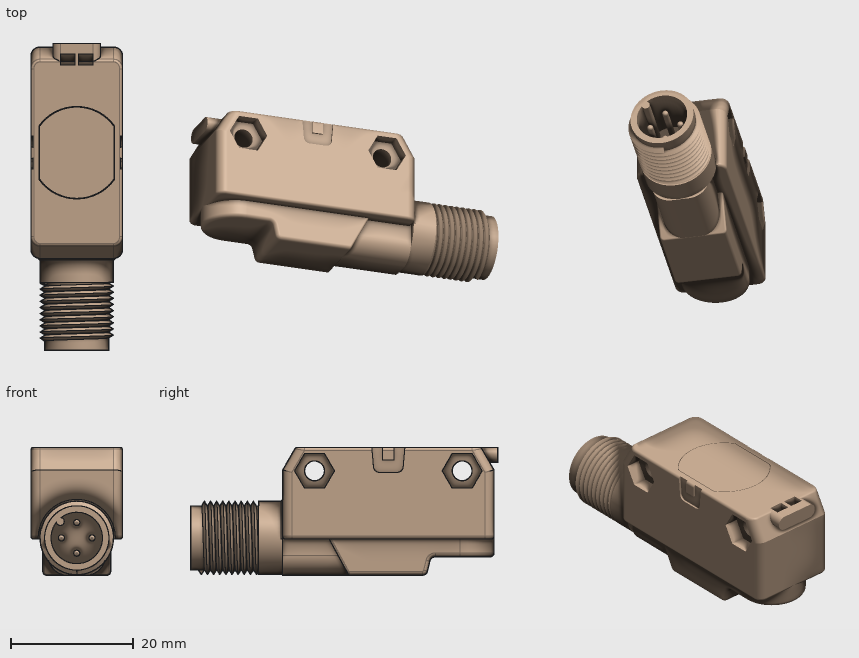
import cadquery as cq
import math


BODY_WIDTH = 15.0
BODY_LENGTH = 34.5
BODY_HEIGHT = 15.0
BODY_TOP = 14.8
BODY_BOTTOM = BODY_TOP - BODY_HEIGHT
BODY_MIDDLE = BODY_LENGTH / 2
CORNER_RADIUS = 1.5
RIM_RADIUS = 0.5
END_SLOPE = math.radians(60)
END_SLOPE_DROP = 3.7
END_SLOPE_RUN = END_SLOPE_DROP / math.tan(END_SLOPE)

BELLY_HALF_WIDTH = 5.55
BELLY_BOTTOM = -6.1
BELLY_SHALLOW_BOTTOM = -3.1
BELLY_STEP_TOP_Y = 24.2
BELLY_STEP_BOTTOM_Y = 23.5
BELLY_STEP_RADIUS = 0.9
BELLY_EDGE_RADIUS = 0.65
BELLY_FRONT_EDGE_RADIUS = 0.3
BELLY_FRONT_TOP_Y = 7.6
BELLY_FRONT_BOTTOM_Y = 10.8
BELLY_OVERLAP = 1.0
ROOT_HALF_WIDTH = 4.7
ROOT_CORNER_RADIUS = 3.25

HOLE_DIAMETER = 3.2
HOLE_SPACING = 24.1
HOLE_DROP = 3.85
NUT_ACROSS_FLATS = 5.65
NUT_DEPTH = 2.4

LATCH_TOP_WIDTH = 5.4
LATCH_BOTTOM_WIDTH = 4.7
LATCH_HEIGHT = 4.1
LATCH_DEPTH = 0.35
LATCH_CORNER_RADIUS = 1.0
CATCH_WIDTH = 1.85
CATCH_HEIGHT = 2.1

WINDOW_DIAMETER = 15.1
WINDOW_WIDTH = 12.4
GROOVE_WIDTH = 0.1
GROOVE_DEPTH = 0.2

TAB_OVERHANG = 0.61
TAB_END = BODY_LENGTH + TAB_OVERHANG
TAB_WIDTH = 7.8
TAB_THICKNESS = 2.45
TAB_LENGTH = 3.1
POCKET_WIDTH = 2.35
POCKET_GAP = 0.65
POCKET_SETBACK = 1.75
POCKET_LENGTH = 1.8
POCKET_DEPTH = 2.1

CONNECTOR_LENGTH = 15.0
COLLAR_RADIUS = 6.0
COLLAR_LENGTH = 3.9
FLARE_SIZE = 0.3
CORE_RADIUS = 5.25
THREAD_PITCH = 1.0
THREAD_END = 13.75
THREAD_ROOT_WIDTH = 0.97
THREAD_RUNOUT = 0.05
THREAD_SINK = 0.03
BORE_RADIUS = 4.2
BORE_DEPTH = 9.0
PIN_DIAMETER = 1.0
PIN_TIP_RADIUS = 0.4
PIN_CIRCLE_RADIUS = 2.5
PIN_COUNT = 4
PIN_SETBACK = 2.3
KEY_RADIUS = 0.65
KEY_CENTER_RADIUS = 3.8
KEY_ANGLE = math.radians(135)


def cylinder_along_y(radius, y_front, y_back, x=0.0, z=0.0):
    """Cylinder parallel to Y between two Y positions."""
    plane = cq.Plane(origin=(x, y_front, z), xDir=(-1, 0, 0), normal=(0, 1, 0))
    return cq.Workplane(plane).circle(radius).extrude(y_back - y_front)


def side_profile(points, half_width):
    """Closed outline of (y, z) points extruded evenly to both sides in X."""
    return cq.Workplane("YZ").polyline(points).close().extrude(half_width, both=True)


def make_housing():
    slope_bottom = BODY_TOP - END_SLOPE_DROP
    outline = [
        (0, BODY_BOTTOM),
        (0, slope_bottom),
        (END_SLOPE_RUN, BODY_TOP),
        (BODY_LENGTH - END_SLOPE_RUN, BODY_TOP),
        (BODY_LENGTH, slope_bottom),
        (BODY_LENGTH, BODY_BOTTOM),
    ]
    housing = side_profile(outline, BODY_WIDTH / 2)
    end_faces = housing.faces("<Y or >Y").edges("|Z")
    sloped_edges = housing.faces("<X or >X").edges("not(|Y or |Z)")
    housing = housing.newObject(end_faces.vals() + sloped_edges.vals()).fillet(CORNER_RADIUS)
    return housing.faces("<Z or >Z").edges().fillet(RIM_RADIUS)


def make_belly():
    belly_top = BODY_BOTTOM + BELLY_OVERLAP
    front_slope = (BELLY_FRONT_BOTTOM_Y - BELLY_FRONT_TOP_Y) / (BODY_BOTTOM - BELLY_BOTTOM)
    outline = [
        (BELLY_FRONT_TOP_Y - front_slope * BELLY_OVERLAP, belly_top),
        (BELLY_FRONT_BOTTOM_Y, BELLY_BOTTOM),
        (BELLY_STEP_BOTTOM_Y, BELLY_BOTTOM),
        (BELLY_STEP_TOP_Y, BELLY_SHALLOW_BOTTOM),
        (BODY_LENGTH, BELLY_SHALLOW_BOTTOM),
        (BODY_LENGTH, belly_top),
    ]
    belly = side_profile(outline, BELLY_HALF_WIDTH)
    step_y = (BELLY_STEP_TOP_Y + BELLY_STEP_BOTTOM_Y) / 2
    step_z = (BELLY_BOTTOM + BELLY_SHALLOW_BOTTOM) / 2
    step_face = belly.faces(cq.NearestToPointSelector((0, step_y, step_z)))
    belly = step_face.edges("|X").fillet(BELLY_STEP_RADIUS)

    round_center = BODY_LENGTH - BELLY_HALF_WIDTH
    plan = (
        cq.Workplane("XY", origin=(0, 0, BELLY_BOTTOM))
        .moveTo(-BELLY_HALF_WIDTH, 0)
        .lineTo(BELLY_HALF_WIDTH, 0)
        .lineTo(BELLY_HALF_WIDTH, round_center)
        .threePointArc((0, BODY_LENGTH), (-BELLY_HALF_WIDTH, round_center))
        .close()
        .extrude(belly_top - BELLY_BOTTOM)
    )
    belly = belly.intersect(plan)
    belly = belly.faces("<Z").edges("|Y").fillet(BELLY_EDGE_RADIUS)
    front_face = belly.faces(cq.NearestToPointSelector((0, BELLY_FRONT_TOP_Y, BODY_BOTTOM)))
    return front_face.edges("not |X").fillet(BELLY_FRONT_EDGE_RADIUS)


def make_connector_root():
    """Round-cornered neck leading from the belly to the connector."""
    height = BODY_BOTTOM + BELLY_OVERLAP - BELLY_BOTTOM
    plan = cq.Workplane("XY", origin=(0, BELLY_FRONT_BOTTOM_Y / 2, BELLY_BOTTOM))
    root = plan.rect(2 * ROOT_HALF_WIDTH, BELLY_FRONT_BOTTOM_Y).extrude(height)
    return root.faces("<Z").edges("|Y").fillet(ROOT_CORNER_RADIUS)


def make_tab():
    tab_center_z = BODY_TOP - TAB_THICKNESS / 2
    plane = cq.Plane(origin=(0, TAB_END, tab_center_z), xDir=(1, 0, 0), normal=(0, -1, 0))
    return cq.Workplane(plane).slot2D(TAB_WIDTH, TAB_THICKNESS).extrude(TAB_LENGTH)


def make_tab_pockets():
    pocket_back = TAB_END - POCKET_SETBACK
    pocket_front = pocket_back - POCKET_LENGTH
    slope_foot = pocket_back - POCKET_DEPTH / math.tan(END_SLOPE)
    outline = [
        (pocket_back, BODY_TOP),
        (slope_foot, BODY_TOP - POCKET_DEPTH),
        (pocket_front, BODY_TOP - POCKET_DEPTH),
        (pocket_front, BODY_TOP),
    ]
    offset = (POCKET_WIDTH + POCKET_GAP) / 2
    pocket = side_profile(outline, POCKET_WIDTH / 2)
    return pocket.translate((offset, 0, 0)).union(pocket.translate((-offset, 0, 0)))


def make_mounting_cut(y):
    """Through hole with a nut pocket on each side."""
    hole_z = BODY_TOP - HOLE_DROP
    corner_diameter = NUT_ACROSS_FLATS / math.cos(math.pi / 6)
    start = cq.Workplane("YZ", origin=(-BODY_WIDTH / 2, y, hole_z))
    hole = start.circle(HOLE_DIAMETER / 2).extrude(BODY_WIDTH)
    pocket = start.polygon(6, corner_diameter).extrude(NUT_DEPTH)
    return hole.union(pocket).union(pocket.mirror("YZ"))


def make_latch_cut():
    """Tapered recess around a small catch, on the -X side."""
    latch_bottom = BODY_TOP - LATCH_HEIGHT
    outline = [
        (BODY_MIDDLE - LATCH_TOP_WIDTH / 2, BODY_TOP),
        (BODY_MIDDLE - LATCH_BOTTOM_WIDTH / 2, latch_bottom),
        (BODY_MIDDLE + LATCH_BOTTOM_WIDTH / 2, latch_bottom),
        (BODY_MIDDLE + LATCH_TOP_WIDTH / 2, BODY_TOP),
    ]
    side = cq.Workplane("YZ", origin=(-BODY_WIDTH / 2, 0, 0))
    recess = side.polyline(outline).close().extrude(LATCH_DEPTH)
    recess = recess.faces("<Z").edges("|X").fillet(LATCH_CORNER_RADIUS)
    catch_z = BODY_TOP - CATCH_HEIGHT / 2
    catch = side.center(BODY_MIDDLE, catch_z).rect(CATCH_WIDTH, CATCH_HEIGHT).extrude(LATCH_DEPTH)
    return recess.cut(catch)


def make_window(inset):
    """Disc with two flats, just below the top face."""
    plane = cq.Workplane("XY", origin=(0, BODY_MIDDLE, BODY_TOP - GROOVE_DEPTH))
    disc = plane.circle(WINDOW_DIAMETER / 2 - inset).extrude(GROOVE_DEPTH)
    flats = plane.rect(WINDOW_WIDTH - 2 * inset, WINDOW_DIAMETER).extrude(GROOVE_DEPTH)
    return disc.intersect(flats)


def make_thread():
    start_y = -THREAD_END + THREAD_ROOT_WIDTH / 2
    length = THREAD_END - THREAD_ROOT_WIDTH / 2 - COLLAR_LENGTH - THREAD_RUNOUT
    base_radius = CORE_RADIUS - THREAD_SINK
    path = cq.Wire.makeHelix(THREAD_PITCH, length, base_radius)
    profile = (
        cq.Workplane("XZ")
        .moveTo(base_radius, -THREAD_ROOT_WIDTH / 2)
        .lineTo(COLLAR_RADIUS, 0)
        .lineTo(base_radius, THREAD_ROOT_WIDTH / 2)
        .close()
    )
    thread = profile.sweep(cq.Workplane(path), isFrenet=True)
    thread = thread.rotate((0, 0, 0), (0, 0, 1), 90).rotate((0, 0, 0), (1, 0, 0), -90)
    return thread.translate((0, start_y, 0))


def make_collar_flare():
    """Cone where the collar meets the housing front face."""
    outline = [(0, 0), (COLLAR_RADIUS + FLARE_SIZE, 0), (COLLAR_RADIUS, -FLARE_SIZE), (0, -FLARE_SIZE)]
    flare = cq.Workplane("XY").polyline(outline).close().revolve(360, (0, 0, 0), (0, 1, 0))
    base = cq.Workplane("XY", origin=(0, 0, BODY_BOTTOM))
    above_belly = base.rect(BODY_WIDTH, BODY_WIDTH).extrude(BODY_HEIGHT)
    return flare.intersect(above_belly)


def make_connector():
    core = cylinder_along_y(CORE_RADIUS, -CONNECTOR_LENGTH, 0)
    collar = cylinder_along_y(COLLAR_RADIUS, -COLLAR_LENGTH, 0)
    return core.union(make_thread()).union(collar).union(make_collar_flare())


def make_bore():
    bore_floor = BORE_DEPTH - CONNECTOR_LENGTH
    bore = cylinder_along_y(BORE_RADIUS, -CONNECTOR_LENGTH, bore_floor)
    key_x = KEY_CENTER_RADIUS * math.cos(KEY_ANGLE)
    key_z = KEY_CENTER_RADIUS * math.sin(KEY_ANGLE)
    bore = bore.cut(cylinder_along_y(KEY_RADIUS, -CONNECTOR_LENGTH, bore_floor, key_x, key_z))
    for index in range(PIN_COUNT):
        angle = 2 * math.pi * index / PIN_COUNT
        pin = cylinder_along_y(
            PIN_DIAMETER / 2,
            PIN_SETBACK - CONNECTOR_LENGTH,
            bore_floor,
            PIN_CIRCLE_RADIUS * math.cos(angle),
            PIN_CIRCLE_RADIUS * math.sin(angle),
        )
        bore = bore.cut(pin.faces("<Y").edges().fillet(PIN_TIP_RADIUS))
    return bore


result = make_housing().union(make_belly()).union(make_connector_root()).union(make_tab())
result = result.cut(make_tab_pockets())

for hole_offset in (-HOLE_SPACING / 2, HOLE_SPACING / 2):
    result = result.cut(make_mounting_cut(BODY_MIDDLE + hole_offset))

latch_cut = make_latch_cut()
result = result.cut(latch_cut).cut(latch_cut.mirror("YZ"))
result = result.cut(make_window(0).cut(make_window(GROOVE_WIDTH)))

result = result.union(make_connector()).cut(make_bore())